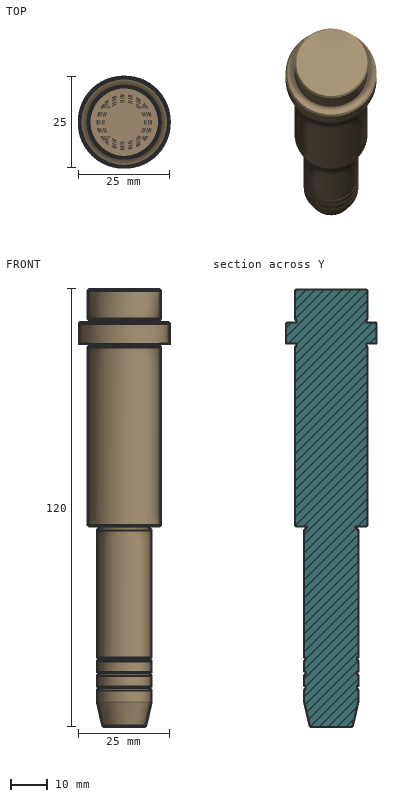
import cadquery as cq

total_length = 120.0
flange_top = 111.0
flange_bottom = 105.0
body_bottom = 55.0
taper_top = 7.0

flange_radius = 12.5
body_diameter = 20.0
body_radius = body_diameter / 2
shaft_diameter = 15.0
shaft_radius = shaft_diameter / 2
taper_end_radius = 6.0

edge_chamfer = 0.5

relief_depth = 0.4
relief_land = 0.5
relief_width = 1.0
neck_depth = 0.8
neck_width = 1.1

groove_count = 3
groove_pitch = 4.0
groove_depth = 0.4
groove_width = 1.1
groove_land = 0.5
lowest_groove_bottom = 10.1


def tip_points():
    """Chamfered tip and the taper up to the shaft."""
    return [
        (0, 0),
        (taper_end_radius - edge_chamfer, 0),
        (taper_end_radius, edge_chamfer),
        (shaft_radius, taper_top),
    ]


def groove_points(bottom):
    """One ring groove with a sloping lower flank and a square upper side."""
    floor_radius = shaft_radius - groove_depth
    top = bottom + groove_width
    return [
        (shaft_radius, bottom),
        (floor_radius, top - groove_land),
        (floor_radius, top),
        (shaft_radius, top),
    ]


def neck_points():
    """Conical relief where the shaft meets the chamfered lower end of the body."""
    neck_radius = shaft_radius - neck_depth
    return [
        (shaft_radius, body_bottom - neck_width),
        (neck_radius, body_bottom),
        (body_radius - edge_chamfer, body_bottom),
        (body_radius, body_bottom + edge_chamfer),
    ]


def flange_points():
    """Flange with a chamfered upper rim and a relief on each side."""
    relief_radius = body_radius - relief_depth
    return [
        (body_radius, flange_bottom - relief_width),
        (relief_radius, flange_bottom - relief_land),
        (relief_radius, flange_bottom),
        (flange_radius, flange_bottom),
        (flange_radius, flange_top - edge_chamfer),
        (flange_radius - edge_chamfer, flange_top),
        (relief_radius, flange_top),
        (relief_radius, flange_top + relief_land),
        (body_radius, flange_top + relief_width),
    ]


def head_points():
    """Chamfered top of the head, closing on the axis."""
    return [
        (body_radius, total_length - edge_chamfer),
        (body_radius - edge_chamfer, total_length),
        (0, total_length),
    ]


profile = tip_points()
for index in range(groove_count):
    profile += groove_points(lowest_groove_bottom + index * groove_pitch)
profile += neck_points() + flange_points() + head_points()

result = cq.Workplane("XZ").polyline(profile).close().revolve(360, (0, 0, 0), (0, 1, 0))